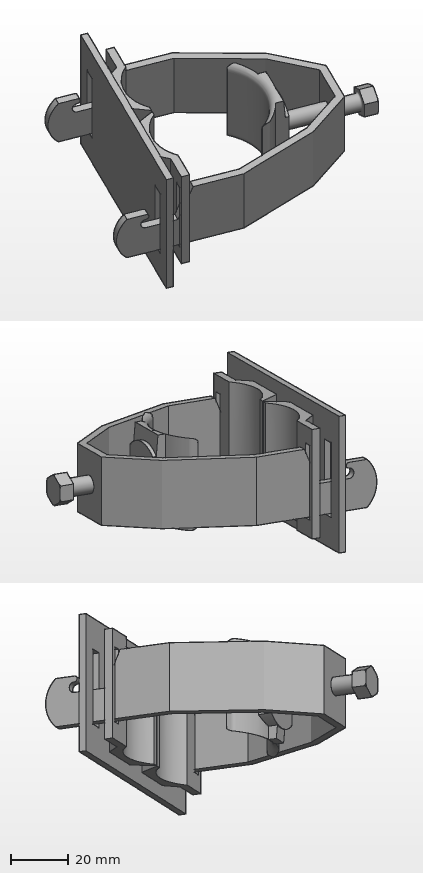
import cadquery as cq
import math


plate_width = 82.5
plate_height = 50.0
plate_thickness = 2.6
slot_width = 5.0
slot_height = 27.3
slot_spacing = 65.7

strap_center_x = 0.1
strap_width = 69.0
strap_height = 25.0
strap_thickness = 3.0
strap_crown_y = 76.4
crown_corner_x = 8.9
shoulder_corner = (22.3, 59.6)
leg_top_y = 28.9
strap_end_y = -18.6

bevel_start_y = 10.0
neck_start_y = 4.3
neck_z = -0.85
hook_top_z = 5.1
hook_corner_y = -14.7
notch_radius = 1.9
notch_top_z = neck_z + 2 * notch_radius
nose_radius = (hook_top_z - notch_top_z) / 2
nose_center_y = -7.6

seat_height = 40.0
seat_outer_x = 36.35
seat_inner_x = 0.3
seat_top_y = 8.0
flange_thickness = 3.1
groove_edges_x = (2.1, 25.1)
groove_depth = 5.05
foot_edges_x = (4.8, 22.0)
flange_end_x = 26.1

bolt_diameter = 6.6
head_across_flats = 10.0
head_length = 5.3
overall_length = 109.2
bolt_top_y = strap_end_y + overall_length
neck_fillet = 0.5
head_chamfer = 0.4

saddle_width = 34.0
saddle_height = 34.0
saddle_inner_radius = 21.5
saddle_thickness = 2.2
saddle_crest_y = 50.25
saddle_foot_y = 42.6
saddle_lip_radius = 3.0
saddle_end_fillet = 2.0
pad_width = 16.8
pad_back_y = 55.95
pad_radius = 12.5
pad_shelf_y = 54.55
pad_draft = 5.0
tongue_width = 6.0


def mirrored(points):
    """Closes a right-half outline with its mirror image across X = 0."""
    return points + [(-x, y) for x, y in reversed(points)]


def make_plate():
    plate = cq.Workplane("XY").box(plate_width, plate_thickness, plate_height)
    slots = (
        cq.Workplane("XY")
        .pushPoints([(-slot_spacing / 2, 0), (slot_spacing / 2, 0)])
        .rect(slot_width, 2 * plate_thickness)
        .extrude(slot_height / 2, both=True)
    )
    return plate.cut(slots).translate((0, -plate_thickness / 2, 0))


def strap_band():
    """The folded strip, still at full height down to the ends of its legs."""
    leg_x = strap_width / 2
    outer_line = [
        (leg_x, strap_end_y),
        (leg_x, leg_top_y),
        shoulder_corner,
        (crown_corner_x, strap_crown_y),
    ]
    overrun = 2 * strap_thickness
    opening_line = [(leg_x, strap_end_y - overrun)] + outer_line[1:]
    opening = (
        cq.Workplane("XY")
        .polyline(mirrored(opening_line))
        .close()
        .offset2D(-strap_thickness, "intersection")
        .extrude(strap_height / 2, both=True)
    )
    outside = cq.Workplane("XY").polyline(mirrored(outer_line)).close().extrude(strap_height / 2, both=True)
    return outside.cut(opening)


def hook_profile():
    """Side outline of the strap: full height at the crown, hooks at the ends."""
    bottom_z = -strap_height / 2
    top_z = strap_height / 2
    nose_center_z = hook_top_z - nose_radius
    notch_center_z = neck_z + notch_radius
    return (
        cq.Workplane("YZ")
        .moveTo(strap_crown_y, bottom_z)
        .lineTo(strap_crown_y, top_z)
        .lineTo(bevel_start_y, top_z)
        .lineTo(neck_start_y, neck_z)
        .lineTo(nose_center_y, neck_z)
        .threePointArc((nose_center_y - notch_radius, notch_center_z), (nose_center_y, notch_top_z))
        .threePointArc((nose_center_y + nose_radius, nose_center_z), (nose_center_y, hook_top_z))
        .lineTo(hook_corner_y, hook_top_z)
        .threePointArc((strap_end_y, (hook_top_z + bottom_z) / 2), (hook_corner_y, bottom_z))
        .close()
        .extrude(strap_width / 2, both=True)
    )


def make_strap():
    bolt_hole = cq.Workplane("XZ").circle(bolt_diameter / 2).extrude(-bolt_top_y)
    strap = strap_band().intersect(hook_profile()).cut(bolt_hole)
    return strap.translate((strap_center_x, 0, 0))


def make_seat(side):
    """One pipe seat; side is +1 for the right one and -1 for the left one."""
    flange_under_y = seat_top_y - flange_thickness
    groove_middle_x = sum(groove_edges_x) / 2
    seat = (
        cq.Workplane("XY")
        .moveTo(side * seat_inner_x, seat_top_y)
        .lineTo(side * groove_edges_x[0], seat_top_y)
        .threePointArc(
            (side * groove_middle_x, seat_top_y - groove_depth),
            (side * groove_edges_x[1], seat_top_y),
        )
        .lineTo(side * seat_outer_x, seat_top_y)
        .lineTo(side * seat_outer_x, flange_under_y)
        .lineTo(side * flange_end_x, flange_under_y)
        .lineTo(side * foot_edges_x[1], 0)
        .lineTo(side * foot_edges_x[0], 0)
        .close()
        .extrude(seat_height / 2, both=True)
    )
    leg_center_x = strap_center_x + side * (strap_width - strap_thickness) / 2
    slot = cq.Workplane("XY").box(strap_thickness, 2 * seat_top_y, slot_height)
    return seat.cut(slot.translate((leg_center_x, seat_top_y, 0)))


def make_bolt():
    head_diameter = head_across_flats / math.cos(math.pi / 6)
    head_radius = head_diameter / 2
    head_base_y = bolt_top_y - head_length
    head = (
        cq.Workplane("XZ", origin=(0, head_base_y, 0))
        .transformed(rotate=(0, 0, 90))
        .polygon(6, head_diameter)
        .extrude(-head_length)
    )
    corner_rounding = (
        cq.Workplane("XZ", origin=(0, head_base_y, 0))
        .circle(head_radius)
        .extrude(-head_length)
        .faces(">Y")
        .chamfer(head_chamfer)
    )
    shank = cq.Workplane("XZ", origin=(0, pad_back_y, 0)).circle(bolt_diameter / 2)
    bolt = head.intersect(corner_rounding).union(shank.extrude(pad_back_y - head_base_y))
    neck = cq.selectors.BoxSelector(
        (-bolt_diameter, head_base_y - neck_fillet, -bolt_diameter),
        (bolt_diameter, head_base_y + neck_fillet, bolt_diameter),
    )
    bolt = bolt.edges("%CIRCLE").edges(neck).fillet(neck_fillet)
    return bolt.translate((strap_center_x, 0, 0))


def saddle_shell(axis_y):
    """The curved shell, cut off square at its sides and feet."""
    outer_radius = saddle_inner_radius + saddle_thickness
    ring = (
        cq.Workplane("XY", origin=(0, axis_y, 0))
        .circle(outer_radius)
        .circle(saddle_inner_radius)
        .extrude(saddle_height / 2, both=True)
    )
    limits = (
        cq.Workplane("XY")
        .box(saddle_width, outer_radius, saddle_height, centered=(True, False, True))
        .translate((0, saddle_foot_y, 0))
    )
    corner_y = axis_y + math.sqrt(outer_radius**2 - (saddle_width / 2) ** 2)
    reach = saddle_thickness / 4
    shell = ring.intersect(limits)
    for side in (-1, 1):
        corner_x = side * saddle_width / 2
        corner = cq.selectors.BoxSelector(
            (corner_x - reach, corner_y - reach, -saddle_height),
            (corner_x + reach, corner_y + reach, saddle_height),
        )
        shell = shell.edges("|Z").edges(corner).fillet(saddle_end_fillet)
    return shell


def drafted_block(axis_y, back_y, start_z, end, width):
    """A block reaching the saddle's upper (end +1) or lower (end -1) rim, its back leaning inwards."""
    rim_z = saddle_height / 2
    lean = (rim_z - start_z) * math.tan(math.radians(pad_draft))
    return (
        cq.Workplane("YZ")
        .polyline([
            (axis_y, 0),
            (back_y, 0),
            (back_y, end * start_z),
            (back_y - lean, end * rim_z),
            (axis_y, end * rim_z),
        ])
        .close()
        .extrude(width / 2, both=True)
    )


def saddle_pad(axis_y):
    """The disc that the bolt presses on, cut flat at its sides, between a top block and a tongue."""
    corner_z = math.sqrt(pad_radius**2 - (pad_width / 2) ** 2)
    sides = (
        cq.Workplane("XY")
        .box(pad_width, pad_back_y - axis_y, 2 * pad_radius, centered=(True, False, True))
        .translate((0, axis_y, 0))
    )
    disc = cq.Workplane("XZ").circle(pad_radius).extrude(-pad_back_y).intersect(sides)
    top = drafted_block(axis_y, pad_shelf_y, corner_z, 1, pad_width)
    tongue = drafted_block(axis_y, pad_back_y, corner_z, -1, tongue_width)
    bore = (
        cq.Workplane("XY", origin=(0, axis_y, 0))
        .circle(saddle_inner_radius + saddle_thickness / 2)
        .extrude(saddle_height, both=True)
    )
    return disc.union(top).union(tongue).cut(bore)


def saddle_lip(axis_y, end):
    """Material removed to round the inner rim; end is +1 for the top, -1 for the bottom."""
    rim_z = end * saddle_height / 2
    start_z = rim_z - end * saddle_lip_radius
    bulge = saddle_lip_radius * math.sqrt(0.5)
    rim_radius = saddle_inner_radius + saddle_lip_radius
    return (
        cq.Workplane("XZ", origin=(0, axis_y, 0))
        .moveTo(saddle_inner_radius, start_z)
        .threePointArc((rim_radius - bulge, start_z + end * bulge), (rim_radius, rim_z))
        .lineTo(saddle_inner_radius, rim_z)
        .close()
        .revolve(360, (0, 0, 0), (0, 1, 0))
    )


def make_saddle():
    axis_y = saddle_crest_y - saddle_inner_radius
    saddle = saddle_shell(axis_y).union(saddle_pad(axis_y))
    for end in (-1, 1):
        saddle = saddle.cut(saddle_lip(axis_y, end))
    return saddle


plate = make_plate()
strap = make_strap()
seats = [make_seat(side) for side in (-1, 1)]
bolt = make_bolt()
saddle = make_saddle()

result = cq.Compound.makeCompound([
    plate.val(),
    strap.val(),
    *[seat.val() for seat in seats],
    bolt.val(),
    saddle.val(),
])